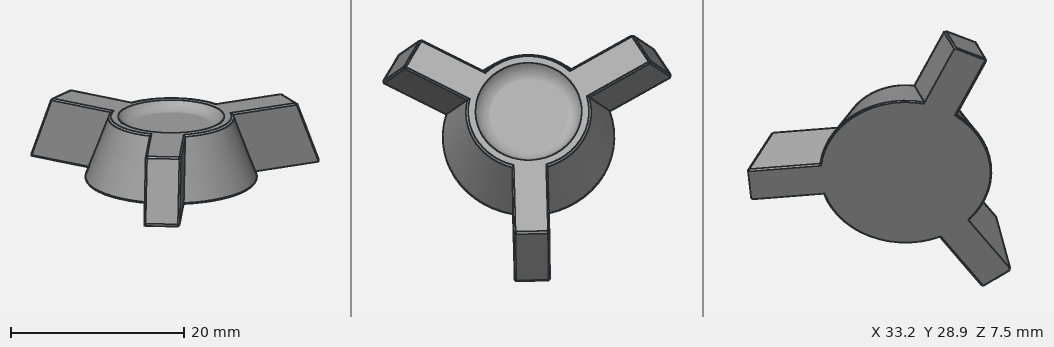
import cadquery as cq
import math

height = 7.5
arm_count = 3
edge_break = 0.2

hub_base_radius = 10.0
hub_top_radius = 7.18

arm_width = 4.12
arm_reach = 18.12
arm_top_reach = 15.33
tip_foot_height = 0.3

dish_rim_radius = 6.15
dish_floor_radius = 4.6
dish_depth = 1.0
dish_wall_radius = 2.25


def make_hub():
    """Cone frustum standing on the base plane, with its bottom edge broken."""
    profile = [
        (0, 0),
        (hub_base_radius, 0),
        (hub_top_radius, height),
        (0, height),
    ]
    hub = cq.Workplane("XZ").polyline(profile).close().revolve(360, (0, 0), (0, 1))
    return hub.edges("<Z").chamfer(edge_break)


def make_arm():
    """Arm along +Y with a sloping tip; only its -X side is broken at the base."""
    profile = [
        (0, 0),
        (arm_reach, 0),
        (arm_reach, tip_foot_height),
        (arm_top_reach, height),
        (0, height),
    ]
    arm = cq.Workplane("YZ").polyline(profile).close().extrude(arm_width / 2, both=True)

    tip_corners = cq.selectors.BoxSelector(
        (-arm_width, arm_top_reach, 0),
        (arm_width, arm_reach + edge_break, height),
    )
    arm = arm.edges(tip_corners).edges("not |X").chamfer(edge_break)

    return arm.edges("<Z").edges("|Y and <X").chamfer(edge_break)


def make_dish():
    """Cutter for the dish: a flat floor and a concave wall rising to the rim."""
    floor_z = height - dish_depth
    wall_run = dish_rim_radius - dish_floor_radius
    chord = math.hypot(wall_run, dish_depth)
    sagitta = dish_wall_radius - math.sqrt(dish_wall_radius**2 - (chord / 2) ** 2)
    wall_middle = (
        dish_floor_radius + wall_run / 2 + sagitta * dish_depth / chord,
        floor_z + dish_depth / 2 - sagitta * wall_run / chord,
    )
    return (
        cq.Workplane("XZ")
        .moveTo(0, floor_z)
        .lineTo(dish_floor_radius, floor_z)
        .threePointArc(wall_middle, (dish_rim_radius, height))
        .lineTo(0, height)
        .close()
        .revolve(360, (0, 0), (0, 1))
    )


knob = make_hub()
for index in range(arm_count):
    arm_angle = index * 360 / arm_count
    knob = knob.union(make_arm().rotate((0, 0, 0), (0, 0, 1), arm_angle))

knob = knob.faces(">Z").edges().chamfer(edge_break)
result = knob.cut(make_dish())